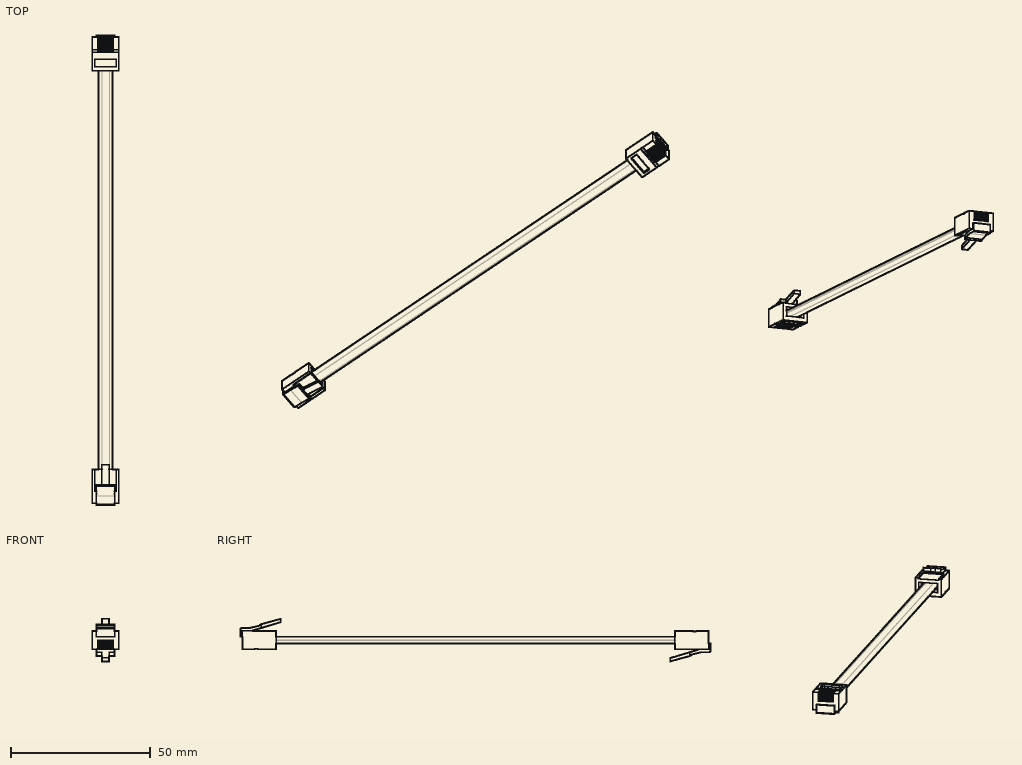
import cadquery as cq

TOTAL_LENGTH = 168.5
TOTAL_HEIGHT = 15.3

BODY_WIDTH = 9.6
BODY_LENGTH = 12.1
BODY_HEIGHT = 6.5
BODY_TOP = BODY_HEIGHT / 2

LATCH_WIDTH = 6.5
NOSE_OVERHANG = 0.7
NOSE_BOTTOM = 1.2
NOSE_CHAMFER = 0.3
PLATE_TOP = 4.4
PLATE_FLAT_LENGTH = 3.4
STEP_START = 6.7
STEP_BOTTOM = 5.2
STEP_END = 7.4
STEP_TOP = 5.7
ROOT_DISTANCE = 4.0
ARM_WIDTH = 2.5
ARM_END = 14.5
ARM_TIP_TOP = TOTAL_HEIGHT / 2
ARM_TIP_BOTTOM = 6.4

CHANNEL_WIDTH = 7.5
CHANNEL_DEPTH = 0.3
CHANNEL_START = 5.0

SLOT_COUNT = 6
SLOT_PITCH = 1.0
SLOT_WIDTH = 0.5
SLOT_LENGTH = 4.9
SLOT_HEIGHT = 3.2

GROOVE_START = 4.5
GROOVE_WIDTH = 1.0
GROOVE_DEPTH = 0.2

POCKET_WIDTH = 7.5
POCKET_START = 8.1
POCKET_LENGTH = 2.5
POCKET_DEPTH = 1.0

CABLE_WIDTH = 5.0
CABLE_HEIGHT = 2.5
CABLE_FILLET = 1.2
OPENING_WIDTH = 6.9
OPENING_HEIGHT = 3.4
OPENING_DEPTH = 3.4

NOSE_Y = -TOTAL_LENGTH / 2
FRONT_Y = NOSE_Y + NOSE_OVERHANG
BACK_Y = FRONT_Y + BODY_LENGTH


def block(width, start_y, length, bottom, height):
    """Box centred on X that starts at start_y and stands on the height bottom."""
    corner = (-width / 2, start_y, bottom)
    return cq.Workplane("XY").box(width, length, height, centered=False).translate(corner)


def extruded_profile(points, width):
    """Side profile of (distance from the nose, height) points, extruded symmetrically along X."""
    placed = [(NOSE_Y + distance, height) for distance, height in points]
    return cq.Workplane("YZ").polyline(placed).close().extrude(width / 2, both=True)


def underside(distance):
    """Height of the latch's straight sloping underside."""
    slope = (ARM_TIP_BOTTOM - BODY_TOP) / (ARM_END - ROOT_DISTANCE)
    return BODY_TOP + slope * (distance - ROOT_DISTANCE)


def make_latch():
    plate = extruded_profile(
        [
            (0, NOSE_BOTTOM),
            (0, PLATE_TOP - NOSE_CHAMFER),
            (NOSE_CHAMFER, PLATE_TOP),
            (PLATE_FLAT_LENGTH, PLATE_TOP),
            (STEP_START, STEP_BOTTOM),
            (STEP_END, STEP_TOP),
            (STEP_END, underside(STEP_END)),
            (ROOT_DISTANCE, BODY_TOP),
            (ROOT_DISTANCE, NOSE_BOTTOM),
        ],
        LATCH_WIDTH,
    )
    arm = extruded_profile(
        [
            (STEP_START, STEP_BOTTOM),
            (STEP_END, STEP_TOP),
            (ARM_END, ARM_TIP_TOP),
            (ARM_END, ARM_TIP_BOTTOM),
            (STEP_START, underside(STEP_START)),
        ],
        ARM_WIDTH,
    )
    return plate.union(arm)


def cut_contact_slots(body):
    for index in range(SLOT_COUNT):
        x = (index - (SLOT_COUNT - 1) / 2) * SLOT_PITCH
        slot = block(SLOT_WIDTH, FRONT_Y, SLOT_LENGTH, -BODY_TOP, SLOT_HEIGHT)
        body = body.cut(slot.translate((x, 0, 0)))
    return body


def make_plug():
    """Plug at the -Y end, latch up."""
    body = block(BODY_WIDTH, FRONT_Y, BODY_LENGTH, -BODY_TOP, BODY_HEIGHT)

    channel_y = NOSE_Y + CHANNEL_START
    body = body.cut(
        block(CHANNEL_WIDTH, channel_y, BACK_Y - channel_y, BODY_TOP - CHANNEL_DEPTH, CHANNEL_DEPTH)
    )
    body = body.cut(block(BODY_WIDTH, FRONT_Y + GROOVE_START, GROOVE_WIDTH, -BODY_TOP, GROOVE_DEPTH))
    body = body.cut(block(POCKET_WIDTH, FRONT_Y + POCKET_START, POCKET_LENGTH, -BODY_TOP, POCKET_DEPTH))
    body = body.cut(
        block(OPENING_WIDTH, BACK_Y - OPENING_DEPTH, OPENING_DEPTH, -OPENING_HEIGHT / 2, OPENING_HEIGHT)
    )
    return cut_contact_slots(body).union(make_latch())


def make_cable():
    """Flat cable whose ends rest on the floors of the two plug openings."""
    start_y = BACK_Y - OPENING_DEPTH
    strip = block(CABLE_WIDTH, start_y, -2 * start_y, -CABLE_HEIGHT / 2, CABLE_HEIGHT)
    return strip.edges("|Y").fillet(CABLE_FILLET)


cable = make_cable()

plugs = [make_plug().rotate((0, 0, 0), (1, 0, 0), turn) for turn in (0, 180)]

result = cq.Compound.makeCompound([cable.val(), *[plug.val() for plug in plugs]])